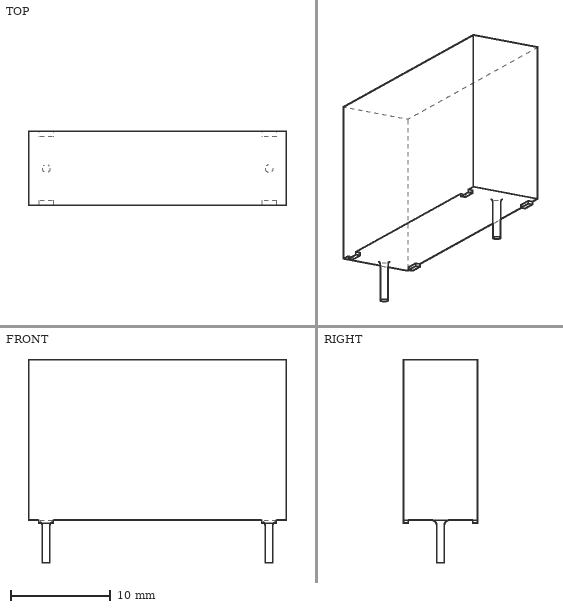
import cadquery as cq
import math

length = 26.0
width = 7.5
total_height = 20.5

pin_diameter = 0.8
pin_pitch = 22.5
pin_length = 4.3
meniscus_radius = 0.5

foot_length = 1.5
foot_width = 0.5
foot_height = 0.3

body_height = total_height - pin_length
pin_radius = pin_diameter / 2


def make_body():
    """Plain box with its underside at Z = 0."""
    return cq.Workplane("XY").box(length, width, body_height, centered=(True, True, False))


def make_pin(x):
    """Lead hanging below the body, flared by a concave quarter arc at its root."""
    arc_drop = meniscus_radius * math.sin(math.radians(45))
    arc_middle = (
        pin_radius + meniscus_radius - arc_drop,
        -meniscus_radius + arc_drop,
    )
    profile = (
        cq.Workplane("XZ")
        .lineTo(pin_radius + meniscus_radius, 0)
        .threePointArc(arc_middle, (pin_radius, -meniscus_radius))
        .lineTo(pin_radius, -pin_length)
        .lineTo(0, -pin_length)
        .close()
    )
    return profile.revolve(360, (0, 0), (0, 1)).translate((x, 0, 0))


def make_foot(x, side):
    """Small block under the body, flush with the long face on the given side."""
    y = side * (width - foot_width) / 2
    return (
        cq.Workplane("XY")
        .box(foot_length, foot_width, foot_height, centered=(True, True, False))
        .translate((x, y, -foot_height))
    )


result = make_body()
for pin_x in (-pin_pitch / 2, pin_pitch / 2):
    result = result.union(make_pin(pin_x))
    for foot_side in (-1, 1):
        result = result.union(make_foot(pin_x, foot_side))
result = result.clean()